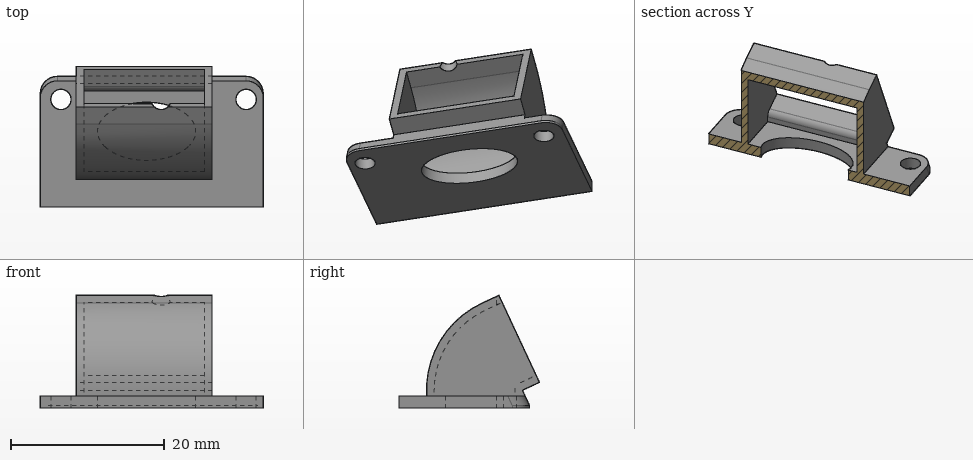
import cadquery as cq
import math

plate_width = 29.0
plate_depth = 17.0
plate_thickness = 1.6
corner_radius = 2.25
hole_diameter = 2.6
hole_spacing = 24.07
hole_center_x = 0.23
hole_y = 13.98

tilt = math.radians(25)
pivot_y = 16.07
pivot_z = 2.32
hood_radius = 12.5
hood_width = 17.7
hood_x = -1.0
mouth_length = 2.45

wall = 1.02
cavity_width = hood_width - 2 * wall
cavity_outer_radius = hood_radius - wall
cavity_inner_radius = wall
mouth_overcut = 0.3

notch_x = 1.22
notch_bottom = 7.25
notch_height = 8.7

opening_x = -0.67
opening_y = 9.83
opening_half_width = 6.38
opening_half_depth = 3.77


def tilted_point(radius, forward):
    """Profile point at a radius from the pivot, moved forward toward the mouth."""
    y = pivot_y - radius * math.sin(tilt) + forward * math.cos(tilt)
    z = pivot_z + radius * math.cos(tilt) + forward * math.sin(tilt)
    return y, z


def arc_midpoint(radius):
    """Middle of the arc between the tilted direction and level."""
    angle = (math.pi / 2 - tilt) / 2
    return pivot_y - radius * math.cos(angle), pivot_z + radius * math.sin(angle)


def extrude_hood_profile(profile, width):
    """Extrude a YZ profile symmetrically about the middle of the hood."""
    return profile.extrude(width / 2, both=True).translate((hood_x, 0, 0))


def plate_outline(z):
    """Plate outline at a height, with the two back corners rounded."""
    half_width = plate_width / 2
    corner_shift = corner_radius * (1 - math.sqrt(0.5))
    return (
        cq.Workplane("XY", origin=(0, 0, z))
        .moveTo(-half_width, 0)
        .lineTo(half_width, 0)
        .lineTo(half_width, plate_depth - corner_radius)
        .threePointArc(
            (half_width - corner_shift, plate_depth - corner_shift),
            (half_width - corner_radius, plate_depth),
        )
        .lineTo(corner_radius - half_width, plate_depth)
        .threePointArc(
            (corner_shift - half_width, plate_depth - corner_shift),
            (-half_width, plate_depth - corner_radius),
        )
        .close()
    )


def make_plate():
    """Plate whose back edge is upright at the bottom and leans forward above."""
    slant_start_z = pivot_z - (plate_depth - pivot_y) / math.tan(tilt)
    slant_height = plate_thickness - slant_start_z
    lower = plate_outline(0).extrude(slant_start_z)
    lean = cq.Vector(0, -slant_height * math.tan(tilt), slant_height)
    leaning = cq.Solid.extrudeLinear(plate_outline(slant_start_z).val(), [], lean)
    behind_front = cq.Workplane("XY").box(
        plate_width, plate_depth, plate_thickness, centered=(True, False, False)
    )
    upper = cq.Workplane("XY").add(leaning).intersect(behind_front)
    return lower.union(upper)


def make_hood():
    pivot_height = pivot_z - plate_thickness
    back_foot_y = pivot_y + pivot_height * math.tan(tilt)
    front_foot_y = pivot_y - math.sqrt(hood_radius**2 - pivot_height**2)
    profile = (
        cq.Workplane("YZ")
        .moveTo(pivot_y, pivot_z)
        .lineTo(*tilted_point(0, mouth_length))
        .lineTo(*tilted_point(hood_radius, mouth_length))
        .lineTo(*tilted_point(hood_radius, 0))
        .threePointArc(arc_midpoint(hood_radius), (front_foot_y, plate_thickness))
        .lineTo(back_foot_y, plate_thickness)
        .close()
    )
    return extrude_hood_profile(profile, hood_width)


def make_cavity():
    mouth_end = mouth_length + mouth_overcut
    profile = (
        cq.Workplane("YZ")
        .moveTo(*tilted_point(cavity_inner_radius, mouth_end))
        .lineTo(*tilted_point(cavity_outer_radius, mouth_end))
        .lineTo(*tilted_point(cavity_outer_radius, 0))
        .threePointArc(arc_midpoint(cavity_outer_radius), (pivot_y - cavity_outer_radius, pivot_z))
        .lineTo(pivot_y - cavity_outer_radius, plate_thickness)
        .lineTo(pivot_y - cavity_inner_radius, plate_thickness)
        .lineTo(pivot_y - cavity_inner_radius, pivot_z)
        .threePointArc(arc_midpoint(cavity_inner_radius), tilted_point(cavity_inner_radius, 0))
        .close()
    )
    return extrude_hood_profile(profile, cavity_width)


def make_mounting_holes():
    return (
        cq.Workplane("XY")
        .pushPoints([(hole_center_x + side * hole_spacing / 2, hole_y) for side in (-1, 1)])
        .circle(hole_diameter / 2)
        .extrude(plate_thickness)
    )


def make_roof_notch():
    return (
        cq.Workplane("XY", origin=(notch_x, hole_y, notch_bottom))
        .circle(hole_diameter / 2)
        .extrude(notch_height)
    )


def make_floor_opening():
    return (
        cq.Workplane("XY", origin=(opening_x, opening_y, 0))
        .ellipse(opening_half_width, opening_half_depth)
        .extrude(plate_thickness)
    )


result = (
    make_plate()
    .union(make_hood())
    .cut(make_cavity())
    .cut(make_mounting_holes())
    .cut(make_roof_notch())
    .cut(make_floor_opening())
)